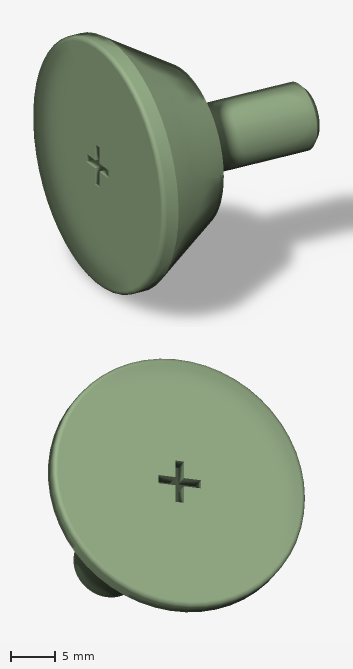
import cadquery as cq

head_diameter = 30.0
total_length = 27.0
rim_thickness = 2.0
rim_fillet = 0.5
head_length = 11.0
neck_diameter = 19.0
stud_diameter = 8.0
stud_chamfer = 0.75
recess_span = 5.0
recess_width = 1.0
recess_depth = 2.0


def make_head():
    """Cylindrical rim with a rounded front edge, tapering back to the neck."""
    head_radius = head_diameter / 2
    profile = (
        cq.Workplane("XY")
        .lineTo(head_radius, 0)
        .lineTo(head_radius, rim_thickness)
        .lineTo(neck_diameter / 2, head_length)
        .lineTo(0, head_length)
        .close()
    )
    head = profile.revolve(360, (0, 0, 0), (0, 1, 0))
    return head.faces("<Y").edges().fillet(rim_fillet)


def make_stud():
    """Plain round stud with a chamfered tip, standing on the neck."""
    stud = (
        cq.Workplane("XZ", origin=(0, head_length, 0))
        .circle(stud_diameter / 2)
        .extrude(head_length - total_length)
    )
    return stud.faces(">Y").edges().chamfer(stud_chamfer)


def make_recess():
    """Cross-shaped driver recess in the front face."""
    bar = cq.Workplane("XZ").rect(recess_span, recess_width).extrude(-recess_depth)
    return bar.union(bar.rotate((0, 0, 0), (0, 1, 0), 90))


result = make_head().union(make_stud()).cut(make_recess())